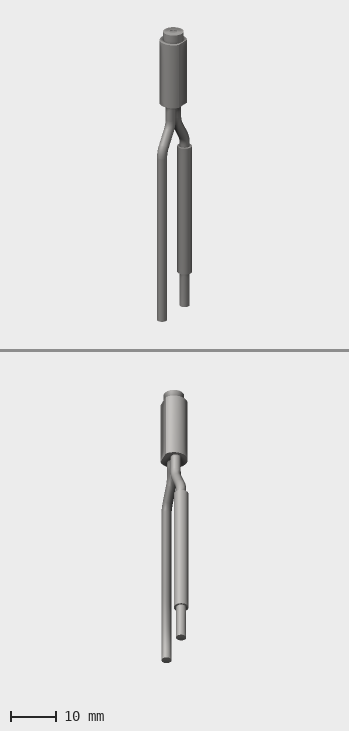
import cadquery as cq
import math

total_height = 67.0

body_radius = 3.0
body_flat_x = 2.5
body_length = 15.0
collar_diameter = 4.5
collar_height = 2.0
recess_diameter = 1.7
recess_depth = 0.1

wire_diameter = 2.2
wire_top_offset = 1.15
wire_end_offset = 4.6
wire_straight_below_body = 3.6
wire_bend_height = 7.65
bend_radius = 4.0

sleeve_diameter = 3.2
sleeve_length = 30.0
sleeve_bottom_z = 8.0

body_top_z = total_height - collar_height
body_bottom_z = body_top_z - body_length
bend_top_z = body_bottom_z - wire_straight_below_body
bend_bottom_z = bend_top_z - wire_bend_height

half_spread = (wire_end_offset - wire_top_offset) / 2
half_drop = wire_bend_height / 2
center_to_middle_y = bend_radius - half_spread
center_to_middle = math.hypot(center_to_middle_y, half_drop)
turn_angle = math.atan2(half_drop, center_to_middle_y) - math.acos(bend_radius / center_to_middle)


def arc_offsets(angle):
    """Sideways and downward travel along a bend arc that starts vertical."""
    return bend_radius * (1 - math.cos(angle)), bend_radius * math.sin(angle)


def make_head():
    body = cq.Workplane("XY").workplane(offset=body_bottom_z).circle(body_radius).extrude(body_length)
    flat_cut = cq.Workplane("XY").box(
        body_radius, 2 * body_radius, body_length, centered=(False, True, False)
    ).translate((body_flat_x, 0, body_bottom_z))
    collar = (
        cq.Workplane("XY").workplane(offset=body_top_z)
        .circle(collar_diameter / 2).extrude(collar_height)
    )
    recess = (
        cq.Workplane("XY").workplane(offset=total_height)
        .circle(recess_diameter / 2).extrude(-recess_depth)
    )
    return body.cut(flat_cut).union(collar).cut(recess)


def make_wire(side):
    """Wire on the +Y side (side = 1) or the -Y side (side = -1)."""
    mid_y, mid_drop = arc_offsets(turn_angle / 2)
    end_y, end_drop = arc_offsets(turn_angle)

    def upper(y, drop):
        return side * (wire_top_offset + y), bend_top_z - drop

    def lower(y, drop):
        return side * (wire_end_offset - y), bend_bottom_z + drop

    path = (
        cq.Workplane("YZ")
        .moveTo(side * wire_top_offset, body_bottom_z + wire_diameter / 2)
        .lineTo(*upper(0, 0))
        .threePointArc(upper(mid_y, mid_drop), upper(end_y, end_drop))
        .lineTo(*lower(end_y, end_drop))
        .threePointArc(lower(mid_y, mid_drop), lower(0, 0))
        .lineTo(side * wire_end_offset, 0)
    )
    return (
        cq.Workplane("XY", origin=(0, side * wire_top_offset, body_bottom_z + wire_diameter / 2))
        .circle(wire_diameter / 2)
        .sweep(path)
    )


def make_sleeve():
    return (
        cq.Workplane("XY", origin=(0, wire_end_offset, sleeve_bottom_z))
        .circle(sleeve_diameter / 2)
        .extrude(sleeve_length)
    )


result = make_head()
for wire_side in (1, -1):
    result = result.union(make_wire(wire_side))
result = result.union(make_sleeve())